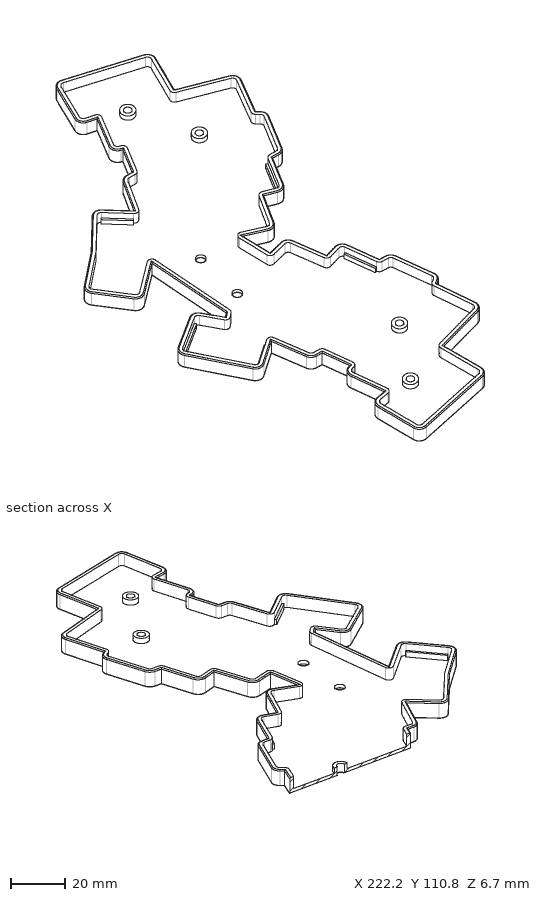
import cadquery as cq
import math

height = 6.7
floor_thickness = 1.5
wall = 1.8
corner_radius = 3.3
rim_chamfer = 0.5

ledge_top = 3.8
ledge_width = 1.0
overlap = 0.5

boss_diameter = 6.0
boss_hole_diameter = 3.1
boss_height = 2.2
boss_places = [(61.0, 28.2), (86.0, 14.2)]
plain_hole_diameter = 4.0
plain_hole_places = [(11.1, -9.0)]

back_step_inner = (16.5, 34.5)
back_step_outer = (32.5, 40.5)
thumb_side_top = (41.8, -16.5)
thumb_side_bottom = (51.5, -28.2)
wing_corners = [
    (3.0, 19.8),
    (19.1, 26.2),
    back_step_inner,
    back_step_outer,
    (32.5, 45.5),
    (52.7, 53.1),
    (55.1, 49.8),
    (74.5, 56.5),
    (82.0, 32.7),
    (102.2, 37.8),
    (111.8, -0.7),
    (89.0, -6.2),
    (87.4, 1.1),
    (70.2, -5.1),
    (69.1, -1.0),
    (57.8, -5.1),
    (57.8, -10.0),
    thumb_side_top,
    thumb_side_bottom,
]

right_thumb_tip = (25.5, -48.2)
right_thumb_inner = (12.0, -30.5)
left_thumb_inner = (-3.5, -41.3)
left_thumb_tip = (-20.0, -56.5)
thumb_corners = [
    right_thumb_tip,
    right_thumb_inner,
    (21.8, -22.5),
    (20.2, -21.0),
    (-16.5, -27.3),
    left_thumb_inner,
    left_thumb_tip,
    (-34.5, -41.8),
]
notch_corners = [(-7.3, 7.5), (5.5, 10.5)]


def mirrored(points):
    return [(-x, y) for x, y in points]


def is_convex(before, corner, after):
    """True where the clockwise outline turns right at the corner."""
    turn_in = (corner[0] - before[0], corner[1] - before[1])
    turn_out = (after[0] - corner[0], after[1] - corner[1])
    return turn_in[0] * turn_out[1] - turn_in[1] * turn_out[0] < 0


outline = wing_corners + thumb_corners + mirrored(reversed(wing_corners)) + notch_corners
followers = outline[1:] + outline[:1]
leaders = outline[-1:] + outline[:-1]
convex_corners = [
    corner
    for before, corner, after in zip(leaders, outline, followers)
    if is_convex(before, corner, after)
]


def at_convex_corner(edge):
    middle = edge.Center()
    return any(math.dist((middle.x, middle.y), corner) < 0.02 for corner in convex_corners)


def cylinders(places, diameter, length):
    """Upright cylinders from the underside, at the places and their mirror images."""
    both_sides = places + mirrored(places)
    return cq.Workplane("XY").pushPoints(both_sides).circle(diameter / 2).extrude(length)


def ledge(start, end):
    """Bar along the inner wall face between two outline corners, clear of rounded corners."""
    start_gap = corner_radius if start in convex_corners else 0
    end_gap = corner_radius if end in convex_corners else 0
    length = math.dist(start, end) - start_gap - end_gap
    base = floor_thickness - overlap
    angle = math.degrees(math.atan2(end[1] - start[1], end[0] - start[0]))
    bar = cq.Workplane("XY").box(
        length, ledge_width + overlap, ledge_top - base, centered=False
    )
    bar = bar.translate((start_gap, -wall - ledge_width, base))
    return bar.rotate((0, 0, 0), (0, 0, 1), angle).translate((start[0], start[1], 0))


block = cq.Workplane("XY").polyline(outline).close().extrude(height)
block = block.edges("|Z").filter(at_convex_corner).fillet(corner_radius)
cavity_outline = block.faces("<Z").wires().val().offset2D(-wall, "arc")[0]
cavity = cq.Solid.extrudeLinear(cavity_outline, [], cq.Vector(0, 0, height))
cavity = cavity.translate(cq.Vector(0, 0, floor_thickness))
tray = block.faces(">Z").edges().chamfer(rim_chamfer).cut(cavity)

paired_ledges = [(back_step_inner, back_step_outer), (thumb_side_top, thumb_side_bottom)]
ledge_edges = [(right_thumb_tip, right_thumb_inner), (left_thumb_inner, left_thumb_tip)]
for start, end in paired_ledges:
    ledge_edges.append((start, end))
    ledge_edges.append(tuple(mirrored([end, start])))
for start, end in ledge_edges:
    tray = tray.union(ledge(start, end))

tray = tray.union(cylinders(boss_places, boss_diameter, floor_thickness + boss_height))
tray = tray.cut(cylinders(boss_places, boss_hole_diameter, height))
result = tray.cut(cylinders(plain_hole_places, plain_hole_diameter, height))